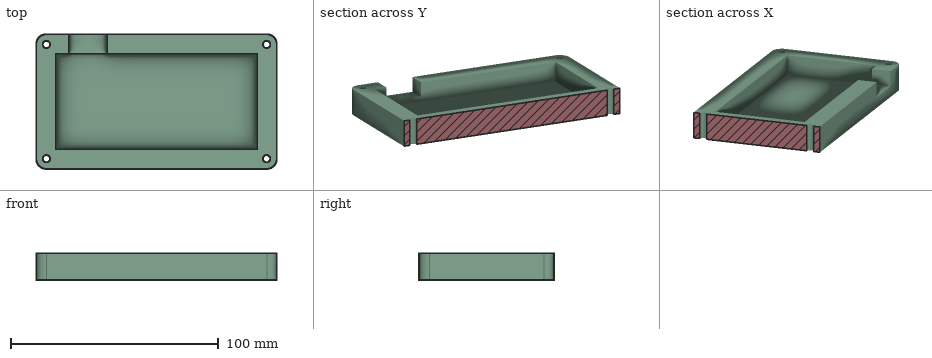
import cadquery as cq

LENGTH = 116.0
WIDTH = 65.0
HEIGHT = 13.0
WALL = 9.5
FLOOR = 3.0

CORNER_RADIUS = 5.0
HOLE_DIAMETER = 3.4

NOTCH_CENTER_FROM_END = 25.0
NOTCH_WIDTH = 18.5
NOTCH_DEPTH = 7.5


def make_block():
    """Rounded plate standing on Z = 0, centred on X and Y."""
    block = cq.Workplane("XY").box(LENGTH, WIDTH, HEIGHT, centered=(True, True, False))
    return block.edges("|Z").fillet(CORNER_RADIUS)


def make_pocket():
    """Sharp-cornered rectangular pocket that leaves the walls and the floor."""
    return cq.Workplane("XY").workplane(offset=FLOOR).box(
        LENGTH - 2 * WALL, WIDTH - 2 * WALL, HEIGHT - FLOOR, centered=(True, True, False)
    )


def make_notch():
    """Slot from the pocket out through the +Y wall."""
    start_x = NOTCH_CENTER_FROM_END - NOTCH_WIDTH / 2 - LENGTH / 2
    corner = (start_x, WIDTH / 2 - WALL, HEIGHT - NOTCH_DEPTH)
    return cq.Workplane("XY").box(NOTCH_WIDTH, WALL, NOTCH_DEPTH, centered=False).translate(corner)


def make_screw_holes():
    """Four through holes at the corner-arc centres."""
    spacing_x = LENGTH - 2 * CORNER_RADIUS
    spacing_y = WIDTH - 2 * CORNER_RADIUS
    return (
        cq.Workplane("XY")
        .rect(spacing_x, spacing_y, forConstruction=True)
        .vertices()
        .circle(HOLE_DIAMETER / 2)
        .extrude(HEIGHT)
    )


result = make_block().cut(make_pocket()).cut(make_notch()).cut(make_screw_holes())